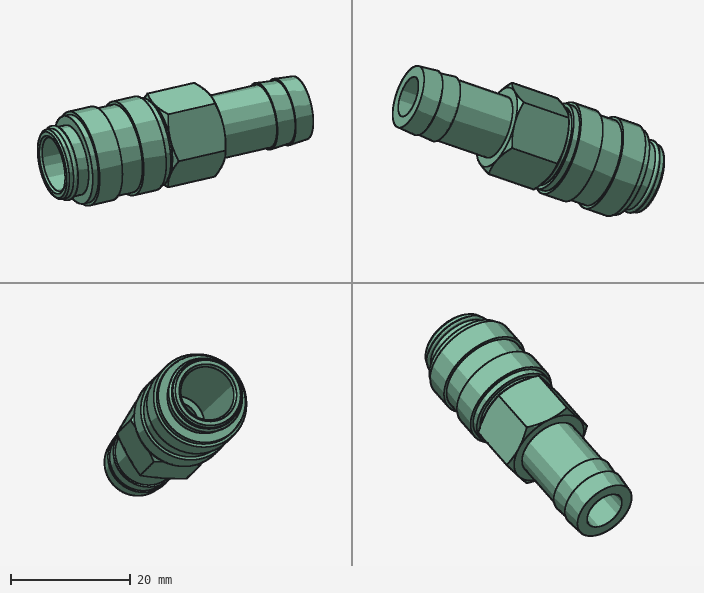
import cadquery as cq
import math

total_length = 46.0
nose_length = 3.9
front_ring_start = 4.95
front_ring_end = 9.2
rear_ring_start = 13.15
rear_ring_end = 17.35
sleeve_end = 18.45
hex_start = 19.05
hex_end = 29.0
barb_pitch = 3.4

nose_diameter = 12.0
sleeve_diameter = 15.15
ring_diameter = 16.2
neck_diameter = 13.8
stem_diameter = 10.8
barb_small_diameter = 10.9
barb_large_diameter = 11.5
bore_diameter = 7.0
socket_diameter = 9.25

across_flats = 14.0
hex_chamfer_angle = 30.0

bead_centre = 1.5
bead_radius = 0.4
nose_chamfer = 0.3
socket_chamfer = 0.35
socket_depth = hex_start


def cylinder(diameter, start, end):
    """Cylinder about the Y axis between two stations."""
    disc = cq.Workplane("XZ", origin=(0, start, 0)).circle(diameter / 2)
    return disc.extrude(start - end)


def cone(start_diameter, end_diameter, start, end):
    """Truncated cone about the Y axis between two stations."""
    profile = cq.Workplane("XY").polyline([
        (0, start),
        (start_diameter / 2, start),
        (end_diameter / 2, end),
        (0, end),
    ])
    return profile.close().revolve(360, (0, 0, 0), (0, 1, 0))


def make_nose():
    """Plug nose with a chamfered rim and a half-round retaining bead."""
    nose = cylinder(nose_diameter, 0, nose_length).faces("<Y").chamfer(nose_chamfer)
    bead_circle = cq.Workplane("XY").center(nose_diameter / 2, bead_centre).circle(bead_radius)
    bead = bead_circle.revolve(360, (-nose_diameter / 2, 0, 0), (-nose_diameter / 2, 1, 0))
    return nose.union(bead)


def make_sleeve():
    """Locking sleeve with two raised rings and a narrow neck behind it."""
    sleeve = cylinder(sleeve_diameter, nose_length, sleeve_end)
    for start, end in [(front_ring_start, front_ring_end), (rear_ring_start, rear_ring_end)]:
        sleeve = sleeve.union(cylinder(ring_diameter, start, end))
    return sleeve.union(cylinder(neck_diameter, sleeve_end, hex_start))


def make_hex():
    """Hexagon with flats facing up and down and conically chamfered corners."""
    across_corners = across_flats / math.cos(math.radians(30))
    chamfer_length = (across_corners - across_flats) / 2 * math.tan(math.radians(hex_chamfer_angle))
    hexagon = cq.Workplane("XZ", origin=(0, hex_start, 0)).polygon(6, across_corners)
    hexagon = hexagon.extrude(hex_start - hex_end)
    envelope = cq.Workplane("XY").polyline([
        (0, hex_start),
        (across_flats / 2, hex_start),
        (across_corners / 2, hex_start + chamfer_length),
        (across_corners / 2, hex_end - chamfer_length),
        (across_flats / 2, hex_end),
        (0, hex_end),
    ])
    return hexagon.intersect(envelope.close().revolve(360, (0, 0, 0), (0, 1, 0)))


def make_hose_stem():
    """Hose stem ending in two barbs that taper toward the rear."""
    barbs_start = total_length - 2 * barb_pitch
    stem = cylinder(stem_diameter, hex_end, barbs_start)
    for start in (barbs_start, barbs_start + barb_pitch):
        stem = stem.union(cone(barb_large_diameter, barb_small_diameter, start, start + barb_pitch))
    return stem


def make_bore():
    """Through bore with a wider, chamfered socket at the nose."""
    socket_mouth = socket_diameter + 2 * socket_chamfer
    bore = cylinder(bore_diameter, 0, total_length)
    bore = bore.union(cylinder(socket_diameter, 0, socket_depth))
    return bore.union(cone(socket_mouth, socket_diameter, 0, socket_chamfer))


body = make_nose().union(make_sleeve()).union(make_hex()).union(make_hose_stem())
result = body.cut(make_bore())